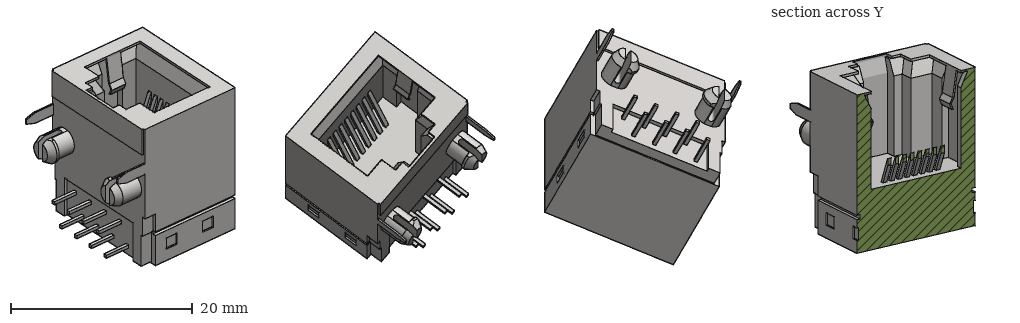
import cadquery as cq
import math


body_width = 15.8
body_depth = 13.0
body_height = 18.6
half_width = body_width / 2
sheet = 0.2
top_sheet = 0.3

apron_width = body_width - 2 * sheet
apron_height = 3.39
apron_thickness = 0.25

corner_depth = 1.5
upper_step_top = 6.8
upper_step_inset = 0.4
lower_step_top = 4.32
lower_step_inset = 0.63
base_step = 0.25

groove_bottom = 3.98
groove_top = 4.46
groove_depth = upper_step_inset
window_length = 1.53
window_height = 1.45
window_z = 2.25
window_ys = (3.85, 9.08)

opening_back = 10.97
opening_steps = ((5.95, 3.0), (3.48, 1.02), (2.29, 0.13))
cavity_back = 10.36
cavity_steps = ((5.95, 3.5), (3.12, 1.82))
latch_slot_half_width = 2.0
latch_slot_front = 0.61
cavity_floor = 7.16
lead_in_bottom = 16.57
lead_in_spread = 0.87

leaf_y = 7.2
leaf_width = 1.99
leaf_bend_x = 5.49
leaf_bend_z = 15.23
leaf_tip_x = 5.08
leaf_tip_z = 14.58
leaf_end_x = 5.38
leaf_end_z = 13.85
relief_front = 5.49
relief_back = 8.43
relief_depth = 0.82

contact_count = 8
contact_span = 7.09
contact_pitch = contact_span / (contact_count - 1)
contact_width = 0.5
contact_top = 13.45
contact_reach = 2.55
contact_thickness = 0.37

pin_size = 0.4
pin_span = 8.9
pin_pitch = 2 * pin_span / (contact_count - 1)
pin_row_zs = (1.38, 3.92)
pin_tip_y = -2.79
recess_width = 11.72
recess_top = 5.26
recess_depth = 0.4

post_x = 5.73
post_z = 10.3
post_radius = 1.58
post_flat_height = 3.03
post_length = 3.53
post_tip_radius = 1.17
post_cone_start = 2.66
barb_radius = 1.77
barb_start = 2.35
split_width = 0.7
split_start = 0.58

tab_length = 3.9
tab_straight = 2.66
tab_height = 1.4
tab_tip_height = 0.6
tab_z = 13.37

back_leaf_top = 17.41
back_leaf_tip_z = 12.15
back_leaf_reach = 1.49
back_leaf_root_half_width = 2.23
back_leaf_tip_half_width = 1.25

OVERLAP = 0.19


def box(x0, x1, y0, y1, z0, z1):
    """Block between two opposite corners."""
    return cq.Workplane("XY").box(x1 - x0, y1 - y0, z1 - z0, centered=False).translate((x0, y0, z0))


def both_sides(piece):
    """The piece together with its mirror image across X = 0."""
    return piece.union(piece.mirror("YZ"))


def stepped_outline(back, steps):
    """Closed plan outline, symmetric about X = 0, narrowing in steps towards the front."""
    right = []
    y = back
    for half, front in steps:
        right += [(half, y), (half, front)]
        y = front
    left = [(-x, y) for x, y in reversed(right)]
    return right + left


def spread(steps, back, offset):
    """Back wall and steps of a stepped outline grown outwards by the offset."""
    return back + offset, [(half + offset, front - offset) for half, front in steps]


def make_shell():
    shell = box(-half_width, half_width, 0, body_depth, 0, body_height)
    apron = box(-apron_width / 2, apron_width / 2, -apron_thickness, OVERLAP,
                body_height - apron_height, body_height)
    shell = shell.union(apron)
    for inset, top in ((upper_step_inset, upper_step_top), (lower_step_inset, lower_step_top)):
        step = box(half_width - inset, half_width, 0, corner_depth, 0, top)
        shell = shell.cut(both_sides(step))
    shell = shell.cut(box(-half_width, half_width, 0, corner_depth, 0, base_step))

    groove = box(half_width - groove_depth, half_width, 0, body_depth, groove_bottom, groove_top)
    shell = shell.cut(both_sides(groove))
    for y in window_ys:
        window = box(half_width - sheet, half_width, y - window_length / 2, y + window_length / 2,
                     window_z - window_height / 2, window_z + window_height / 2)
        shell = shell.cut(both_sides(window))
    return shell.cut(box(-recess_width / 2, recess_width / 2, 0, recess_depth, 0, recess_top))


def make_cavity():
    housing_top = body_height - top_sheet
    opening = (cq.Workplane("XY").workplane(offset=housing_top)
               .polyline(stepped_outline(opening_back, opening_steps)).close().extrude(top_sheet))
    well = (cq.Workplane("XY").workplane(offset=cavity_floor)
            .polyline(stepped_outline(cavity_back, cavity_steps)).close().extrude(housing_top - cavity_floor))
    wide_back, wide_steps = spread(cavity_steps, cavity_back, lead_in_spread)
    lead_in = (cq.Workplane("XY").workplane(offset=lead_in_bottom)
               .polyline(stepped_outline(cavity_back, cavity_steps)).close()
               .workplane(offset=housing_top - lead_in_bottom)
               .polyline(stepped_outline(wide_back, wide_steps)).close().loft(ruled=True))
    latch_profile = [
        (cavity_back, cavity_floor), (latch_slot_front, cavity_floor), (latch_slot_front, lead_in_bottom),
        (opening_steps[-1][1], housing_top), (cavity_back, housing_top),
    ]
    latch_slot = (cq.Workplane("YZ").polyline(latch_profile).close()
                  .extrude(latch_slot_half_width, both=True))
    wall_x = cavity_steps[0][0]
    relief = box(wall_x - OVERLAP, wall_x + relief_depth, relief_front, relief_back,
                 cavity_floor, housing_top)
    return opening.union(well).union(lead_in).union(latch_slot).union(both_sides(relief))


def make_cavity_leaf():
    """Leaf hanging from the edge of the opening, bent inwards and then back at its end."""
    top_x = opening_steps[0][0]
    top_z = body_height - top_sheet
    inner_face = [(top_x, body_height), (top_x, top_z), (leaf_bend_x, leaf_bend_z),
                  (leaf_tip_x, leaf_tip_z), (leaf_end_x, leaf_end_z)]
    outer_face = [(x + sheet, z) for x, z in reversed(inner_face)]
    return (cq.Workplane("XZ", origin=(0, leaf_y, 0)).polyline(inner_face + outer_face).close()
            .extrude(leaf_width / 2, both=True))


def make_contacts():
    front_y = cavity_back - contact_reach
    slope = (contact_top - cavity_floor) / contact_reach
    rise = slope * OVERLAP
    profile = [
        (cavity_back + OVERLAP, contact_top + rise), (front_y - OVERLAP, cavity_floor - rise),
        (front_y - OVERLAP + contact_thickness, cavity_floor - rise),
        (cavity_back + OVERLAP, contact_top + rise - slope * contact_thickness),
    ]
    contacts = cq.Workplane("XY")
    for i in range(contact_count):
        x = (i - (contact_count - 1) / 2) * contact_pitch
        contact = (cq.Workplane("YZ", origin=(x, 0, 0)).polyline(profile).close()
                   .extrude(contact_width / 2, both=True))
        contacts = contacts.union(contact)
    return contacts


def make_pins():
    pins = cq.Workplane("XY")
    half = pin_size / 2
    for row_z, shift in zip(pin_row_zs, (pin_pitch / 4, -pin_pitch / 4)):
        for i in range(contact_count // 2):
            x = (i - (contact_count // 2 - 1) / 2) * pin_pitch + shift
            pins = pins.union(box(x - half, x + half, pin_tip_y, recess_depth + OVERLAP,
                                  row_z - half, row_z + half))
    return pins


def turned(profile):
    """Solid of revolution about the Y axis from (radius, distance in front of the body) points."""
    return (cq.Workplane("XY").polyline([(radius, -distance) for radius, distance in profile]).close()
            .revolve(360, (0, 0, 0), (0, 1, 0)))


def make_post():
    """Split post on the +X side of the jack, with its barb facing the middle."""
    flat = post_flat_height / 2
    root = [(0, -OVERLAP), (post_radius, -OVERLAP)]
    tip = [(post_tip_radius, post_length), (0, post_length)]
    barb = [(post_radius, barb_start), (barb_radius, barb_start), (barb_radius, post_cone_start)]
    outer_half = box(0, barb_radius, -post_length, OVERLAP, -flat, flat)
    plain = turned(root + [(post_radius, post_cone_start)] + tip).intersect(outer_half)
    barbed = turned(root + barb + tip).intersect(outer_half.mirror("YZ"))

    split_radius = split_width / 2
    split_y = -split_start - split_radius
    split = box(-split_radius, split_radius, -post_length, split_y, -flat, flat).union(
        cq.Workplane("XY").center(0, split_y).circle(split_radius).extrude(flat, both=True)
    )
    return plain.union(barbed).cut(split).translate((post_x, 0, post_z))


def make_ground_tab():
    half = tab_height / 2
    tip = tab_tip_height / 2
    outline = [(OVERLAP, -half), (-tab_straight, -half), (-tab_length, -tip),
               (-tab_length, tip), (-tab_straight, half), (OVERLAP, half)]
    return (cq.Workplane("YZ", origin=(half_width - sheet, 0, tab_z))
            .polyline(outline).close().extrude(sheet))


def make_back_leaf():
    """Tapered leaf bent out of the back, from its side profile trimmed by its plan outline."""
    slope = back_leaf_reach / (back_leaf_top - back_leaf_tip_z)
    angle = math.atan(slope)
    inward = (-sheet * math.cos(angle), -sheet * math.sin(angle))
    start = (body_depth - OVERLAP, back_leaf_top + OVERLAP / slope)
    tip = (body_depth + back_leaf_reach, back_leaf_tip_z)
    profile = [start, tip, (tip[0] + inward[0], tip[1] + inward[1]),
               (start[0] + inward[0], start[1] + inward[1])]
    strip = cq.Workplane("YZ").polyline(profile).close().extrude(back_leaf_root_half_width, both=True)

    root_y = body_depth - OVERLAP + inward[0]
    plan = [(-back_leaf_root_half_width, root_y), (back_leaf_root_half_width, root_y),
            (back_leaf_root_half_width, body_depth), (back_leaf_tip_half_width, tip[0]),
            (-back_leaf_tip_half_width, tip[0]), (-back_leaf_root_half_width, body_depth)]
    return strip.intersect(cq.Workplane("XY").polyline(plan).close().extrude(body_height))


result = make_shell().cut(make_cavity())
for piece in (
    both_sides(make_cavity_leaf()),
    make_contacts(),
    make_pins(),
    both_sides(make_post()),
    both_sides(make_ground_tab()),
    make_back_leaf(),
):
    result = result.union(piece)